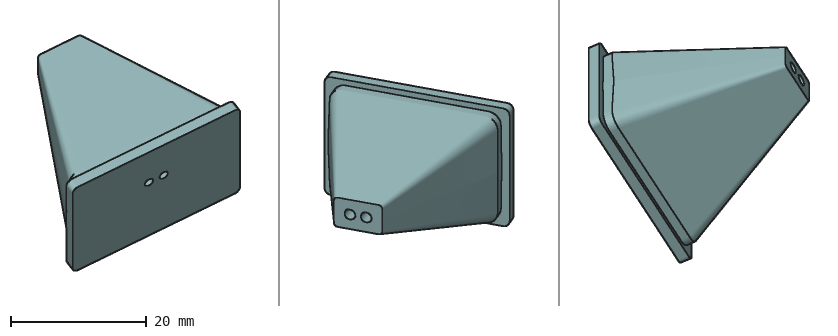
import cadquery as cq
import math

LENGTH = 27.1
FLANGE_WIDTH = 29.0
FLANGE_HEIGHT = 20.0
FLANGE_THICKNESS = 1.75
FLANGE_RADIUS = 1.02

FLANGE_MARGIN = 0.95
NECK_WIDTH = 26.33
NECK_HEIGHT = FLANGE_HEIGHT - 2 * FLANGE_MARGIN
NECK_RADIUS = 2.03
NECK_LENGTH = 1.45
NECK_BULGE = 0.12

BODY_BULGE = 0.25
TIP_WIDTH = 7.57
TIP_HEIGHT = 5.0
TIP_RADIUS = 0.58
TIP_RISE = 2.75

HOLE_SPACING = 2.55
HOLE_DIAMETER = 1.42
ENTRY_DIAMETER = 1.68
ENTRY_DEPTH = 8.7

BODY_END_X = -FLANGE_THICKNESS - NECK_LENGTH


def bent_outline(x, width, height, radius, bulge, rise=0.0):
    """Closed rounded rectangle normal to X, with the middle of both sides pushed out by bulge."""
    half_width = width / 2
    half_height = height / 2
    flat_y = half_width - radius
    flat_z = half_height - radius
    arc_y = flat_y + radius * math.sqrt(0.5)
    arc_z = flat_z + radius * math.sqrt(0.5)
    sketch = (
        cq.Workplane("YZ", origin=(x, 0, rise))
        .moveTo(-flat_y, -half_height)
        .lineTo(flat_y, -half_height)
        .threePointArc((arc_y, -arc_z), (half_width, -flat_z))
        .lineTo(half_width + bulge, 0)
        .lineTo(half_width, flat_z)
        .threePointArc((arc_y, arc_z), (flat_y, half_height))
        .lineTo(-flat_y, half_height)
        .threePointArc((-arc_y, arc_z), (-half_width, flat_z))
        .lineTo(-half_width - bulge, 0)
        .lineTo(-half_width, -flat_z)
        .threePointArc((-arc_y, -arc_z), (-flat_y, -half_height))
        .close()
    )
    return sketch


def neck_prism(length):
    """Straight prism of the neck outline, reaching from the flange toward the tip."""
    outline = bent_outline(-FLANGE_THICKNESS, NECK_WIDTH, NECK_HEIGHT, NECK_RADIUS, NECK_BULGE)
    return outline.extrude(-length)


def tapered_body():
    base = bent_outline(BODY_END_X, NECK_WIDTH, NECK_HEIGHT, NECK_RADIUS, BODY_BULGE)
    tip = bent_outline(-LENGTH, TIP_WIDTH, TIP_HEIGHT, TIP_RADIUS, 0.0, TIP_RISE)
    taper = cq.Solid.makeLoft([tip.val(), base.val()], True)
    return cq.Workplane(taper).intersect(neck_prism(LENGTH))


def flange():
    return (
        cq.Workplane("YZ")
        .rect(FLANGE_WIDTH, FLANGE_HEIGHT)
        .extrude(-FLANGE_THICKNESS)
        .edges("|X")
        .fillet(FLANGE_RADIUS)
    )


def wire_holes():
    centres = [(-HOLE_SPACING / 2, 0), (HOLE_SPACING / 2, 0)]
    start = cq.Workplane("YZ", origin=(-LENGTH, 0, TIP_RISE)).pushPoints(centres)
    through = start.circle(HOLE_DIAMETER / 2).extrude(LENGTH)
    entry = start.circle(ENTRY_DIAMETER / 2).extrude(ENTRY_DEPTH)
    return through.union(entry)


result = flange().union(neck_prism(NECK_LENGTH)).union(tapered_body()).cut(wire_holes())